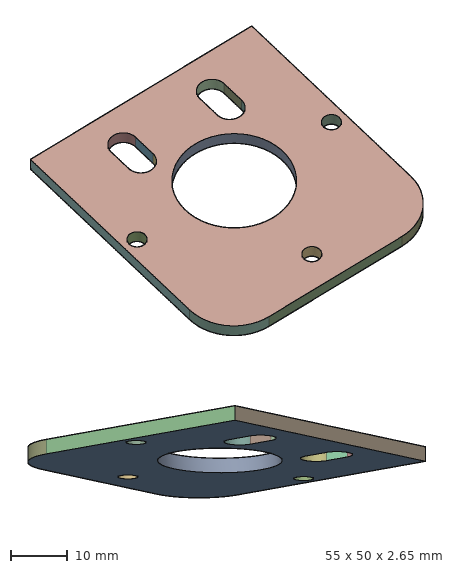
import cadquery as cq

length = 55.0
width = 50.0
thickness = 2.65
corner_radius = 10.0

bore_x = 26.35
bore_diameter = 22.0
screw_circle_radius = 21.95
screw_diameter = 3.5

slot_x = 10.0
slot_spacing = 20.0
slot_length = 10.45
slot_width = 5.5

plate = (
    cq.Workplane("XY")
    .box(length, width, thickness, centered=(False, True, False))
    .edges("|Z and >X")
    .fillet(corner_radius)
)

bore = cq.Workplane("XY").center(bore_x, 0).circle(bore_diameter / 2).extrude(thickness)

screw_holes = (
    cq.Workplane("XY")
    .center(bore_x, 0)
    .pushPoints([(0, screw_circle_radius), (screw_circle_radius, 0), (0, -screw_circle_radius)])
    .circle(screw_diameter / 2)
    .extrude(thickness)
)

slots = (
    cq.Workplane("XY")
    .pushPoints([(slot_x, slot_spacing / 2), (slot_x, -slot_spacing / 2)])
    .slot2D(slot_length, slot_width)
    .extrude(thickness)
)

result = plate.cut(bore).cut(screw_holes).cut(slots)